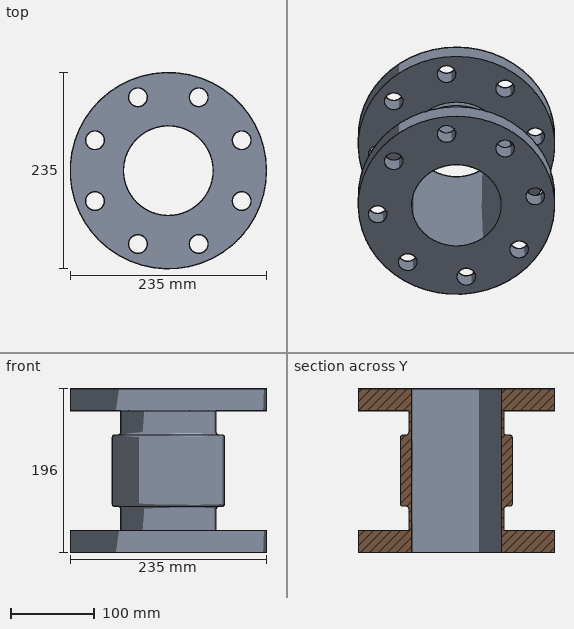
import cadquery as cq

flange_diameter = 235.0
total_height = 196.0

flange_thickness = 26.5
bolt_circle_diameter = 189.9
bolt_hole_diameter = 22.0
bolt_count = 8
bolt_start_angle = 360 / bolt_count / 2

neck_diameter = 114.5
body_diameter = 134.5
body_height = 85.5
bore_diameter = 107.0
shoulder_radius = 3.0


def disc(diameter, height, center_z):
    """Solid cylinder about the Z axis, centred on the given height."""
    return cq.Workplane("XY", origin=(0, 0, center_z)).circle(diameter / 2).extrude(height / 2, both=True)


def spool_core():
    """Neck and thicker body as one revolved profile, rounded at the body rims and roots."""
    neck_radius = neck_diameter / 2
    body_radius = body_diameter / 2
    shoulder_z = body_height / 2
    end_z = total_height / 2
    profile = [
        (0, -end_z),
        (neck_radius, -end_z),
        (neck_radius, -shoulder_z),
        (body_radius, -shoulder_z),
        (body_radius, shoulder_z),
        (neck_radius, shoulder_z),
        (neck_radius, end_z),
        (0, end_z),
    ]
    core = cq.Workplane("XZ").polyline(profile).close().revolve(360, (0, 0), (0, 1))
    shoulder_faces = core.faces("|Z").faces("not (<Z or >Z)")
    return shoulder_faces.edges().fillet(shoulder_radius)


def bolted_flange(center_z):
    """Plain round flange with its ring of bolt holes."""
    return (
        disc(flange_diameter, flange_thickness, center_z)
        .faces(">Z")
        .workplane()
        .polarArray(bolt_circle_diameter / 2, bolt_start_angle, 360, bolt_count)
        .hole(bolt_hole_diameter)
    )


flange_center_z = (total_height - flange_thickness) / 2

result = spool_core()
for side in (-1, 1):
    result = result.union(bolted_flange(side * flange_center_z))
result = result.cut(disc(bore_diameter, total_height, 0))